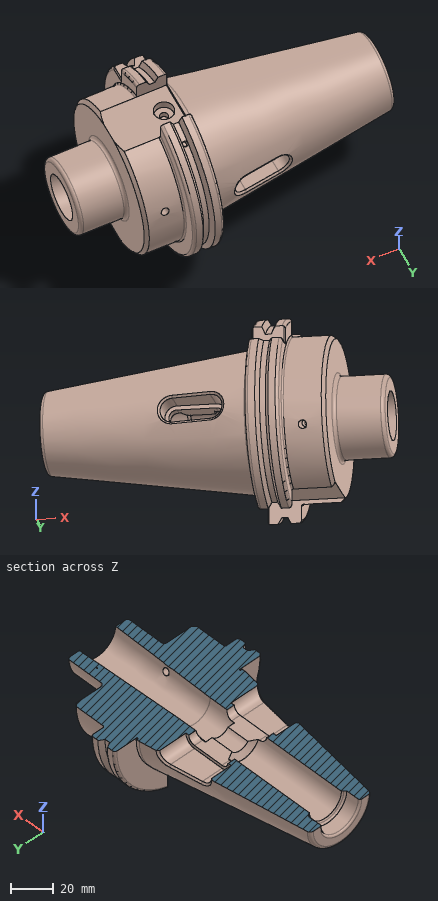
import cadquery as cq
import math


LENGTH = 166.8
GAUGE_X = 101.7
RELIEF_X = 103.9
FLANGE_X = 104.4
FLANGE_END_X = 120.7
COLLAR_END_X = 141.7
GROOVE_X = 112.5

SHANK_DIAMETER = 69.9
SHANK_RADIUS = SHANK_DIAMETER / 2
SHANK_SLOPE = 7 / 48
RELIEF_RADIUS = 33.9
FLANGE_RADIUS = 48.7
COLLAR_RADIUS = 39.9
NOSE_RADIUS = 20.0
SHANK_END_RADIUS = SHANK_RADIUS - SHANK_SLOPE * GAUGE_X

GROOVE_ROOT_RADIUS = 45.7
GROOVE_ROOT_WIDTH = 2.8
GROOVE_FLANK_ANGLE = 30.0
GROOVE_DEPTH = FLANGE_RADIUS - GROOVE_ROOT_RADIUS
GROOVE_TOP_WIDTH = GROOVE_ROOT_WIDTH + 2 * GROOVE_DEPTH * math.tan(math.radians(GROOVE_FLANK_ANGLE))

SHANK_END_ROUND = 2.2
FLANGE_ROUND = 1.5
COLLAR_CHAMFER = 1.8
COLLAR_FOOT_ROUND = 0.8
NOSE_ROUND = 1.8
SLOT_CHAMFER = 0.7

DRIVE_SLOT_WIDTH = 25.7
UPPER_SLOT_FLOOR = 37.7
LOWER_SLOT_FLOOR = 35.5
NOTCH_FLOOR = 30.0

PILOT_RADIUS = 12.5
PILOT_DEPTH = 9.0
PILOT_ROUND = 1.2
LEAD_RADIUS = 11.5
REAR_BORE_RADIUS = 10.5
REAR_BORE_END_X = 66.7
LINK_RADIUS = 6.5
DRILL_TIP_SLOPE = math.tan(math.radians(118 / 2))
LEAD_X = PILOT_DEPTH + PILOT_RADIUS - LEAD_RADIUS
REAR_BORE_X = LEAD_X + (LEAD_RADIUS - REAR_BORE_RADIUS) / DRILL_TIP_SLOPE
LINK_X = REAR_BORE_END_X + (REAR_BORE_RADIUS - LINK_RADIUS) / DRILL_TIP_SLOPE

SOCKET_MOUTH_RADIUS = 11.8
SOCKET_END_RADIUS = 10.2
SOCKET_SLOPE = 1 / 40
SOCKET_BOTTOM_X = 82.7
SOCKET_TAPER_END_X = LENGTH - (SOCKET_MOUTH_RADIUS - SOCKET_END_RADIUS) / SOCKET_SLOPE

DRIFT_X = 75.2
DRIFT_LENGTH = 26.7
DRIFT_WIDTH = 7.8
RECESS_MARGIN = 2.0
RECESS_FLOOR = 15.0
RECESS_CHAMFER = 1.2

COOLANT_ANGLE = 19.7
INLET_DIAMETER = 6.3
INLET_PITCH_RADIUS = 41.5
INLET_TILT = 34.0
CROSS_HOLE_DIAMETER = 4.0
CROSS_HOLE_X = 130.4

CHIP_DIAMETER = 10.2
CHIP_DEPTH = 4.5
CHIP_DRILL_DIAMETER = 4.2
CHIP_DRILL_DEPTH = 3.3
GROOVE_HOLE_DIAMETER = 2.7
GROOVE_HOLE_DEPTH = 3.3
GROOVE_HOLE_ANGLE = 30.0

CLEAR = 1.7


def shank():
    profile = (
        cq.Workplane("XY")
        .lineTo(0, SHANK_END_RADIUS)
        .lineTo(GAUGE_X, SHANK_RADIUS)
        .lineTo(RELIEF_X, SHANK_RADIUS)
        .lineTo(RELIEF_X, RELIEF_RADIUS)
        .lineTo(FLANGE_X + CLEAR, RELIEF_RADIUS)
        .lineTo(FLANGE_X + CLEAR, 0)
        .close()
    )
    body = profile.revolve(360, (0, 0, 0), (1, 0, 0))
    return body.faces("<X").edges().fillet(SHANK_END_ROUND)


def oblong(length, width, start_y, end_y):
    """Round-ended bar along X with its flat ends at start_y and end_y."""
    plane = cq.Workplane("XZ", origin=(DRIFT_X, start_y, 0))
    return plane.slot2D(length, width).extrude(start_y - end_y)


def cut_drift_slot(body):
    recess_length = DRIFT_LENGTH + 2 * RECESS_MARGIN
    recess_width = DRIFT_WIDTH + 2 * RECESS_MARGIN
    for side in (-1, 1):
        body = body.cut(oblong(recess_length, recess_width, side * RECESS_FLOOR, side * FLANGE_RADIUS))
    reach = recess_length / 2 + CLEAR
    for side in (-1, 1):
        near, far = sorted((side * (RECESS_FLOOR + CLEAR), side * FLANGE_RADIUS))
        mouth = cq.selectors.BoxSelector(
            (DRIFT_X - reach, near, -recess_width), (DRIFT_X + reach, far, recess_width)
        )
        rim = body.edges(mouth).edges("not(|X or |Y)")
        body = body.newObject(rim.vals()).chamfer(RECESS_CHAMFER)
    return body.cut(oblong(DRIFT_LENGTH, DRIFT_WIDTH, FLANGE_RADIUS, -FLANGE_RADIUS))


def flange():
    disc = (
        cq.Workplane("YZ", origin=(FLANGE_X, 0, 0))
        .circle(FLANGE_RADIUS)
        .extrude(FLANGE_END_X - FLANGE_X)
        .edges()
        .fillet(FLANGE_ROUND)
    )
    groove = (
        cq.Workplane("XY")
        .moveTo(GROOVE_X - GROOVE_ROOT_WIDTH / 2, GROOVE_ROOT_RADIUS)
        .lineTo(GROOVE_X + GROOVE_ROOT_WIDTH / 2, GROOVE_ROOT_RADIUS)
        .lineTo(GROOVE_X + GROOVE_TOP_WIDTH / 2, FLANGE_RADIUS)
        .lineTo(GROOVE_X + GROOVE_TOP_WIDTH / 2, FLANGE_RADIUS + CLEAR)
        .lineTo(GROOVE_X - GROOVE_TOP_WIDTH / 2, FLANGE_RADIUS + CLEAR)
        .lineTo(GROOVE_X - GROOVE_TOP_WIDTH / 2, FLANGE_RADIUS)
        .close()
        .revolve(360, (0, 0, 0), (1, 0, 0))
    )
    return disc.cut(groove)


def collar_and_nose():
    foot_x = FLANGE_END_X + COLLAR_FOOT_ROUND
    profile = (
        cq.Workplane("XY")
        .moveTo(FLANGE_X + CLEAR, 0)
        .lineTo(FLANGE_X + CLEAR, COLLAR_RADIUS)
        .lineTo(FLANGE_END_X, COLLAR_RADIUS)
        .lineTo(FLANGE_END_X, COLLAR_RADIUS + COLLAR_FOOT_ROUND)
        .radiusArc((foot_x, COLLAR_RADIUS), -COLLAR_FOOT_ROUND)
        .lineTo(COLLAR_END_X - COLLAR_CHAMFER, COLLAR_RADIUS)
        .lineTo(COLLAR_END_X, COLLAR_RADIUS - COLLAR_CHAMFER)
        .lineTo(COLLAR_END_X, NOSE_RADIUS + NOSE_ROUND)
        .radiusArc((COLLAR_END_X + NOSE_ROUND, NOSE_RADIUS), -NOSE_ROUND)
        .lineTo(LENGTH - NOSE_ROUND, NOSE_RADIUS)
        .radiusArc((LENGTH, NOSE_RADIUS - NOSE_ROUND), NOSE_ROUND)
        .lineTo(LENGTH, 0)
        .close()
    )
    return profile.revolve(360, (0, 0, 0), (1, 0, 0))


def bores():
    """Rear bore, link passage and tapered socket as one turned cutter."""
    pilot_mouth = PILOT_RADIUS + PILOT_ROUND
    profile = (
        cq.Workplane("XY")
        .lineTo(0, pilot_mouth)
        .radiusArc((PILOT_ROUND, PILOT_RADIUS), -PILOT_ROUND)
        .lineTo(PILOT_DEPTH, PILOT_RADIUS)
        .lineTo(LEAD_X, LEAD_RADIUS)
        .lineTo(REAR_BORE_X, REAR_BORE_RADIUS)
        .lineTo(REAR_BORE_END_X, REAR_BORE_RADIUS)
        .lineTo(LINK_X, LINK_RADIUS)
        .lineTo(SOCKET_BOTTOM_X, LINK_RADIUS)
        .lineTo(SOCKET_BOTTOM_X, SOCKET_END_RADIUS)
        .lineTo(SOCKET_TAPER_END_X, SOCKET_END_RADIUS)
        .lineTo(LENGTH, SOCKET_MOUTH_RADIUS)
        .lineTo(LENGTH, 0)
        .close()
    )
    return profile.revolve(360, (0, 0, 0), (1, 0, 0))


def edge_slot(y_min, y_max, z_min, z_max, end_x, flare_end):
    """Block cut along X from the flange face, flared at the face and, if asked, at end_x."""
    width = y_max - y_min
    height = z_max - z_min
    middle = ((y_min + y_max) / 2, (z_min + z_max) / 2)
    block = cq.Workplane("YZ", origin=(FLANGE_X, *middle)).rect(width, height).extrude(end_x - FLANGE_X)

    def flare(x, direction):
        size = (width + 2 * SLOT_CHAMFER, height + 2 * SLOT_CHAMFER)
        return cq.Workplane("YZ", origin=(x, *middle)).rect(*size).extrude(direction * SLOT_CHAMFER, taper=45)

    block = block.union(flare(FLANGE_X, 1))
    if flare_end:
        block = block.union(flare(end_x, -1))
    return block


def flange_slots():
    half = DRIVE_SLOT_WIDTH / 2
    outside = FLANGE_RADIUS + CLEAR
    upper = edge_slot(-half, half, UPPER_SLOT_FLOOR, outside, COLLAR_END_X, False)
    lower = edge_slot(-half, half, -outside, -LOWER_SLOT_FLOOR, COLLAR_END_X, False)
    notch = edge_slot(-outside, -NOTCH_FLOOR, NOTCH_FLOOR, outside, FLANGE_END_X, True)
    return upper.union(lower).union(notch)


def rod(start, direction, diameter, length):
    return cq.Workplane(cq.Solid.makeCylinder(diameter / 2, length, cq.Vector(*start), cq.Vector(*direction)))


def coolant_holes():
    """Inclined inlet from the flange face meeting a radial hole from the collar, on both sides."""
    tilt = math.radians(INLET_TILT)
    inlet_length = (CROSS_HOLE_X - FLANGE_X) / math.cos(tilt)
    step_back = CLEAR + INLET_DIAMETER
    inlet = rod(
        (FLANGE_X - step_back * math.cos(tilt), INLET_PITCH_RADIUS + step_back * math.sin(tilt), 0),
        (math.cos(tilt), -math.sin(tilt), 0),
        INLET_DIAMETER,
        inlet_length + step_back,
    )
    cross_hole = rod((CROSS_HOLE_X, 0, 0), (0, 1, 0), CROSS_HOLE_DIAMETER, COLLAR_RADIUS + CLEAR)
    pair = inlet.union(cross_hole).rotate((0, 0, 0), (1, 0, 0), COOLANT_ANGLE)
    return pair.union(pair.rotate((0, 0, 0), (1, 0, 0), 180))


def chip_pocket():
    pocket_floor = UPPER_SLOT_FLOOR - CHIP_DEPTH
    drill_end = pocket_floor - CHIP_DRILL_DEPTH
    drill_radius = CHIP_DRILL_DIAMETER / 2
    profile = (
        cq.Workplane("XZ", origin=(GROOVE_X, 0, 0))
        .moveTo(0, UPPER_SLOT_FLOOR)
        .lineTo(CHIP_DIAMETER / 2, UPPER_SLOT_FLOOR)
        .lineTo(CHIP_DIAMETER / 2, pocket_floor)
        .lineTo(drill_radius, pocket_floor)
        .lineTo(drill_radius, drill_end)
        .lineTo(0, drill_end - drill_radius / DRILL_TIP_SLOPE)
        .close()
    )
    return profile.revolve(360, (0, 0, 0), (0, 1, 0))


def groove_hole():
    hole = rod(
        (GROOVE_X, 0, GROOVE_ROOT_RADIUS - GROOVE_HOLE_DEPTH),
        (0, 0, 1),
        GROOVE_HOLE_DIAMETER,
        GROOVE_HOLE_DEPTH + CLEAR,
    )
    return hole.rotate((0, 0, 0), (1, 0, 0), -GROOVE_HOLE_ANGLE)


result = cut_drift_slot(shank()).union(flange()).union(collar_and_nose())
for cutter in (bores(), flange_slots(), coolant_holes(), chip_pocket(), groove_hole()):
    result = result.cut(cutter)